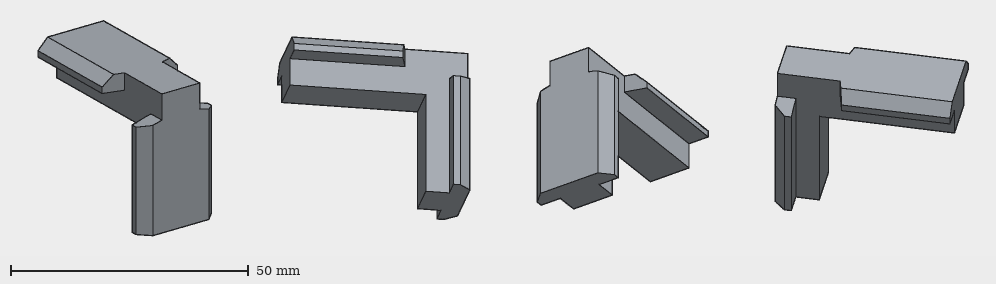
import cadquery as cq
import math

length = 38.0
width = 19.5
height = 32.0

web_width = 9.8
top_arm_depth = 10.0
leg_depth = 9.0

flange_depth = 4.0
flange_chamfer = 2.5
taper_angle = 15.0
top_flange_root_length = 24.5
leg_flange_root_length = 26.0
flange_overhang = (width - web_width) / 2
taper_run = flange_overhang * math.tan(math.radians(taper_angle))


def make_web():
    """L-shaped web, centred on Y = 0, with its top face at Z = height."""
    outline = [
        (0, height),
        (length, height),
        (length, 0),
        (length - leg_depth, 0),
        (length - leg_depth, height - top_arm_depth),
        (0, height - top_arm_depth),
    ]
    return cq.Workplane("XZ").polyline(outline).close().extrude(web_width / 2, both=True)


def make_flange(root_length):
    """Flange along +X from X = 0, outer face at Z = 0, with a tapered far end."""
    tip_length = root_length - taper_run
    half_width = width / 2
    half_web = web_width / 2
    plan = [
        (0, -half_width),
        (tip_length, -half_width),
        (root_length, -half_web),
        (root_length, half_web),
        (tip_length, half_width),
        (0, half_width),
    ]
    section = [
        (-half_width, -flange_depth),
        (half_width, -flange_depth),
        (half_width, -flange_chamfer),
        (half_width - flange_chamfer, 0),
        (flange_chamfer - half_width, 0),
        (-half_width, -flange_chamfer),
    ]
    tapered_plate = cq.Workplane("XY").polyline(plan).close().extrude(-flange_depth)
    chamfered_bar = cq.Workplane("YZ").polyline(section).close().extrude(root_length)
    return tapered_plate.intersect(chamfered_bar)


top_flange = make_flange(top_flange_root_length).translate((0, 0, height))

leg_flange = (
    make_flange(leg_flange_root_length)
    .rotate((0, 0, 0), (0, 1, 0), -90)
    .mirror("YZ")
    .translate((length, 0, 0))
)

result = make_web().union(top_flange).union(leg_flange)